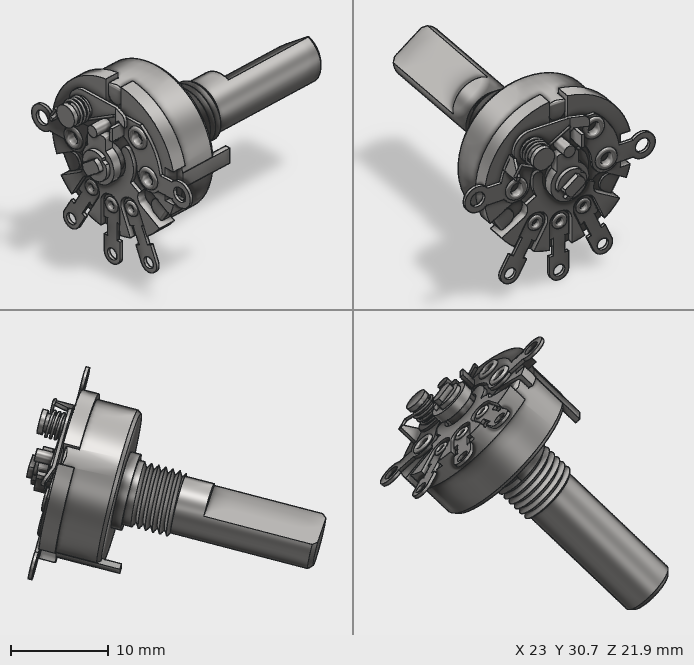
import cadquery as cq
import math


STRIP_END_ROUND = 0.48
RIVET_RIM_ROUND = 0.4

BASE_RADIUS = 8.93
BASE_FRONT = 1.72
CAN_RADIUS = 8.35
CAN_FRONT = 6.4
CAN_CHAMFER_DEPTH = 0.4
CAN_CHAMFER_WIDTH = 0.3
LUG_TIP = 8.5
LUG_THICKNESS = 0.6
LUG_WIDTH = 1.85
NOTCH_X = 7.52
NOTCH_WIDTH = 4.02

TAB_ANGLES = (90, 210, 330)
SLOT_WIDTH = 2.18
SLOT_INNER = 4.8
SLOT_FLOOR = 0.58
SLOT_MOUTH = 7.73
TAB_WIDTH = 2.03
TAB_INNER = 6.2
TAB_REAR = 0.28
TAB_ROUND = 0.35

COLLAR_RADIUS = 4.02
COLLAR_FRONT = 7.45
THREAD_RADIUS = 3.4
THREAD_ROOT = 2.82
THREAD_START = 8.15
THREAD_FRONT = 12.43
SIX_TURNS = 4.5
THREAD_PITCH = SIX_TURNS / 6
GROOVE_WIDTH = 0.75
GROOVE_OVERCUT = 0.015
GROOVE_OUTER = THREAD_RADIUS + GROOVE_OVERCUT

JOURNAL_RADIUS = 1.6
SHAFT_RADIUS = 3.0
OVERALL_LENGTH = 30.7
SHAFT_FRONT = 27.4
SHAFT_CHAMFER = 0.45
FLAT_DISTANCE = 1.53
FLAT_START = 15.47
FLAT_ANGLE = 126.6
CAM_RADIUS = 2.3
CAM_FRONT = -1.17
CAM_REAR = -2.2
LOBE_LEFT = -1.55
LOBE_RIGHT = 1.07
LOBE_TOP = 3.68
LOBE_ROUND = 0.35
CLIP_RADIUS = 1.75
CLIP_REAR = -2.7
CLIP_NOTCH = ((1.07, 1.05), (1.53, 0.8))
TANG_RADIUS = 1.23
TANG_WIDTH = 1.45
TANG_REAR = SHAFT_FRONT - OVERALL_LENGTH

BOARD_REAR = -0.45
BOARD_START = 210
BOARD_END = 330
RING_OUTER = 3.38
RING_INNER = 2.2
RING_START = 168
RING_END = 397

RIVET_DISTANCE = 5.83
LEFT_LEAN = 30
LEFT_LEAN_RADIANS = math.radians(LEFT_LEAN)
TERMINALS = (
    (-RIVET_DISTANCE * math.sin(LEFT_LEAN_RADIANS), -RIVET_DISTANCE * math.cos(LEFT_LEAN_RADIANS), LEFT_LEAN),
    (0, -RIVET_DISTANCE, 0),
    (2.9, -4.97, -23.6),
)
CHANNEL_WIDTH = 2.7
CHANNEL_FLOOR = 0.18
TERMINAL_REAR = -0.18
TERMINAL_WIDTH = 2.33
TERMINAL_NECK = 1.35
NECK_START = 1.93
NECK_END = 4.05
TERMINAL_LENGTH = 6.0
TERMINAL_HOLE = 0.68
SMALL_RIVET_RADIUS = 0.9
SMALL_RIVET_HOLE = 0.4
SMALL_RIVET_REAR = -0.43

PLATE_REAR = -0.37
PLATE_OUTER = 7.2
LEFT_PLATE_INNER = 3.65
RIGHT_PLATE_INNER = 3.85
EYE_X = 9.97
EYE_RADIUS = 1.53
EYE_HOLE = 0.85
ARM_WIDTH = 2.05
PAD_RADIUS = 1.65
LEFT_RIVETS = ((-5.35, 0),)
LEFT_EYE_Z = 0.25
LEFT_ARM_Z = 0.18
LEFT_PLATE_TOP = 4.0
RIGHT_RIVETS = ((5.52, 0), (4.0, 4.25))
RIGHT_PLATE_TOP = 5.83
RIVET_RADIUS = 1.3
RIVET_HOLE = 0.7
RIVET_REAR = -0.68
RIVET_FLOOR = 0.3
STOP_LEFT = 1.5
STOP_THICKNESS = 0.4
STOP_BOTTOM = 3.5
STOP_TOP = 5.1
STOP_REAR = -2.05
BRACKET_LOW = (-6.57, 2.52)
BRACKET_HIGH = (-5.77, 4.05)
BRACKET_THICKNESS = 0.4
BRACKET_LOW_REAR = -2.58
BRACKET_HIGH_REAR = -0.83
BRACKET_LOW_LENGTH = 0.43

PIVOT = (-3.75, 4.55)
LEVER_FRONT = -0.28
LEVER_REAR = -0.65
LEVER_RADIUS = 2.03
LEVER_BEND_X = 0.98
LEVER_TIP_X = 2.92
LEVER_TIP_ROUND = 0.55
LEVER_TIP_BOTTOM = 5.28
LEVER_TIP_CHAMFER = 0.45
LEVER_TIP_RISE = 0.68
SPACER_RADIUS = 1.5
POST_RADIUS = 0.98
POST_HEAD_RADIUS = 1.3
POST_FOOT_REAR = -0.95
POST_HEAD_FRONT = -2.65
POST_REAR = -3.2
PIN_CENTRE = (-0.35, 4.05)
PIN_RADIUS = 0.68
PIN_REAR = -2.73

COIL_RADIUS = 1.35
WIRE_RADIUS = 0.138
COIL_FRONT_Y = -0.8
COIL_REAR_Y = -2.35
COIL_START = -60
COIL_END = -117
COIL_TURNS = 3
LONG_LEG = 4.6
SHORT_LEG = 1.78
HOOK_END = (-6.72, 2.9)


def sketch_at(y):
    """Work plane across the shaft at height y; its local axes are X and Z and it extrudes to -Y."""
    return cq.Workplane("XZ", origin=(0, y, 0))


def disc(centre, radius, front, rear):
    return sketch_at(front).center(*centre).circle(radius).extrude(front - rear)


def block(x_range, z_range, front, rear):
    width = x_range[1] - x_range[0]
    height = z_range[1] - z_range[0]
    corner = sketch_at(front).center(x_range[0], z_range[0])
    return corner.rect(width, height, centered=False).extrude(front - rear)


def turn(body, angle):
    """Turn a body about the shaft axis, from +X towards +Z."""
    return body.rotate((0, 0, 0), (0, 1, 0), -angle)


def polar(radius, angle):
    return (radius * math.cos(math.radians(angle)), radius * math.sin(math.radians(angle)))


def ring_sector(inner, outer, start, end, front, rear):
    middle = (start + end) / 2
    outline = (
        sketch_at(front)
        .moveTo(*polar(inner, start))
        .lineTo(*polar(outer, start))
        .threePointArc(polar(outer, middle), polar(outer, end))
        .lineTo(*polar(inner, end))
        .threePointArc(polar(inner, middle), polar(inner, start))
        .close()
    )
    return outline.extrude(front - rear)


def rivet(centre, radius, hole, front, rear):
    """Hollow rivet head with rounded inner and outer rims."""
    head = sketch_at(front).center(*centre).circle(radius).circle(hole).extrude(front - rear)
    return head.faces("<Y").edges().fillet(RIVET_RIM_ROUND * (radius - hole))


def round_ended_strip(inner, width, front, rear):
    """Strip along +X past the base rim, with a rounded inner end."""
    length = BASE_RADIUS + width - inner
    strip = block((inner, inner + length), (-width / 2, width / 2), front, rear)
    return strip.edges("|Y and <X").fillet(STRIP_END_ROUND * width)


def make_can():
    shoulder = CAN_FRONT - CAN_CHAMFER_DEPTH
    can = disc((0, 0), CAN_RADIUS, shoulder, BASE_FRONT)
    rim = cq.Solid.makeCone(
        CAN_RADIUS,
        CAN_RADIUS - CAN_CHAMFER_WIDTH,
        CAN_CHAMFER_DEPTH,
        pnt=cq.Vector(0, shoulder, 0),
        dir=cq.Vector(0, 1, 0),
    )
    can = can.union(cq.Workplane(rim))
    lug_sides = (-LUG_WIDTH / 2, LUG_WIDTH / 2)
    lug = block((CAN_RADIUS - LUG_THICKNESS, CAN_RADIUS), lug_sides, LUG_TIP, BASE_FRONT)
    return can.union(lug)


def make_base():
    base = disc((0, 0), BASE_RADIUS, BASE_FRONT, 0)
    base = base.union(ring_sector(RING_INNER, BASE_RADIUS, BOARD_START, BOARD_END, 0, BOARD_REAR))
    base = base.union(ring_sector(RING_INNER, RING_OUTER, RING_START, RING_END, 0, BOARD_REAR))
    for end in (RING_START, RING_END):
        tip = polar((RING_INNER + RING_OUTER) / 2, end)
        base = base.union(disc(tip, (RING_OUTER - RING_INNER) / 2, 0, BOARD_REAR))
    notch = block((NOTCH_X, BASE_RADIUS), (-NOTCH_WIDTH / 2, NOTCH_WIDTH / 2), BASE_FRONT, 0)
    return base.cut(notch)


def clench_tabs(base):
    """Cut the rim slots and lay a bent can tab in each."""
    half_width = SLOT_WIDTH / 2
    slot = round_ended_strip(SLOT_INNER, SLOT_WIDTH, SLOT_FLOOR, BOARD_REAR)
    mouth = block((SLOT_MOUTH, BASE_RADIUS), (-half_width, half_width), BASE_FRONT, 0)
    tab = block((TAB_INNER, CAN_RADIUS), (-TAB_WIDTH / 2, TAB_WIDTH / 2), BASE_FRONT, TAB_REAR)
    tab = tab.edges("|Y and <X").fillet(STRIP_END_ROUND * TAB_WIDTH)
    tab = tab.edges("<Y and >X").fillet(TAB_ROUND)
    tab = tab.intersect(disc((0, 0), CAN_RADIUS, BASE_FRONT, TAB_REAR))
    for angle in TAB_ANGLES:
        base = base.cut(turn(slot.union(mouth), angle))
        base = base.union(turn(tab, angle))
    return base


def make_bushing():
    """Collar and threaded barrel; the groove starts at the bottom and runs out of the barrel end."""
    collar = disc((0, 0), COLLAR_RADIUS, COLLAR_FRONT, CAN_FRONT)
    barrel = disc((0, 0), THREAD_RADIUS, THREAD_FRONT + 2 * THREAD_PITCH, COLLAR_FRONT)
    groove_length = THREAD_FRONT - THREAD_START + THREAD_PITCH
    path = cq.Wire.makeHelix(THREAD_PITCH, groove_length, THREAD_RADIUS)
    groove = (
        cq.Workplane("XZ")
        .polyline([
            (THREAD_ROOT, 0),
            (GROOVE_OUTER, -GROOVE_WIDTH / 2),
            (GROOVE_OUTER, GROOVE_WIDTH / 2),
        ])
        .close()
        .sweep(cq.Workplane(path), isFrenet=True)
        .rotate((0, 0, 0), (0, 0, 1), 90)
        .rotate((0, 0, 0), (1, 0, 0), -90)
        .translate((0, THREAD_START, 0))
    )
    kept = disc((0, 0), COLLAR_RADIUS, THREAD_FRONT, COLLAR_FRONT)
    return barrel.cut(groove).intersect(kept).union(collar)


def hang_at(body, x, z, lean):
    """Lean a downward-hanging body about its rivet and move the rivet to (x, z)."""
    return body.rotate((0, 0, 0), (0, 1, 0), lean).translate((x, 0, z))


def make_channel():
    half_width = CHANNEL_WIDTH / 2
    trough = block((-half_width, half_width), (-TERMINAL_LENGTH, 0), CHANNEL_FLOOR, BOARD_REAR)
    return trough.union(disc((0, 0), half_width, CHANNEL_FLOOR, BOARD_REAR))


def make_terminal():
    half_width = TERMINAL_WIDTH / 2
    sides = (-half_width, half_width)
    neck_sides = (-TERMINAL_NECK / 2, TERMINAL_NECK / 2)
    eye = (0, -TERMINAL_LENGTH)
    terminal = disc((0, 0), half_width, CHANNEL_FLOOR, TERMINAL_REAR)
    terminal = terminal.union(block(sides, (-NECK_START, 0), CHANNEL_FLOOR, TERMINAL_REAR))
    terminal = terminal.union(block(neck_sides, (-NECK_END, -NECK_START), CHANNEL_FLOOR, TERMINAL_REAR))
    terminal = terminal.union(block(sides, (-TERMINAL_LENGTH, -NECK_END), CHANNEL_FLOOR, TERMINAL_REAR))
    terminal = terminal.union(disc(eye, half_width, CHANNEL_FLOOR, TERMINAL_REAR))
    terminal = terminal.cut(disc(eye, TERMINAL_HOLE, CHANNEL_FLOOR, TERMINAL_REAR))
    head = rivet((0, 0), SMALL_RIVET_RADIUS, SMALL_RIVET_HOLE, TERMINAL_REAR, SMALL_RIVET_REAR)
    bore = disc((0, 0), SMALL_RIVET_HOLE, CHANNEL_FLOOR, TERMINAL_REAR)
    return terminal.union(head).cut(bore)


def make_contact_plate(x_range, inner, top, rivets, eye, arm_z):
    """Flat contact: an arc-shaped plate with a round pad, a solder eye on an arm, and rivets."""
    pad = rivets[0]
    plate = sketch_at(0).circle(PLATE_OUTER).circle(inner).extrude(-PLATE_REAR)
    plate = plate.intersect(block(x_range, (0, top), 0, PLATE_REAR))
    arm_ends = sorted((pad[0], eye[0]))
    arm = block(arm_ends, (arm_z - ARM_WIDTH / 2, arm_z + ARM_WIDTH / 2), 0, PLATE_REAR)
    plate = plate.union(disc(pad, PAD_RADIUS, 0, PLATE_REAR)).union(arm)
    plate = plate.union(disc(eye, EYE_RADIUS, 0, PLATE_REAR))
    plate = plate.cut(disc(eye, EYE_HOLE, 0, PLATE_REAR))
    for centre in rivets:
        plate = plate.union(rivet(centre, RIVET_RADIUS, RIVET_HOLE, PLATE_REAR, RIVET_REAR))
        plate = plate.cut(disc(centre, RIVET_HOLE, 0, PLATE_REAR))
    return plate


def make_bracket():
    """Upright spring bracket on the left contact, sloping down towards its upper end."""
    run_x = BRACKET_HIGH[0] - BRACKET_LOW[0]
    run_z = BRACKET_HIGH[1] - BRACKET_LOW[1]
    length = math.hypot(run_x, run_z)
    plane = cq.Plane(
        origin=(BRACKET_LOW[0], 0, BRACKET_LOW[1]),
        xDir=(run_x, 0, run_z),
        normal=(run_z, 0, -run_x),
    )
    outward = -plane.yDir.y
    outline = [
        (0, 0),
        (0, outward * -BRACKET_LOW_REAR),
        (BRACKET_LOW_LENGTH, outward * -BRACKET_LOW_REAR),
        (length, outward * -BRACKET_HIGH_REAR),
        (length, 0),
    ]
    return cq.Workplane(plane).polyline(outline).close().extrude(BRACKET_THICKNESS / 2, both=True)


def make_lever():
    top = PIVOT[1] + LEVER_RADIUS
    bottom = PIVOT[1] - LEVER_RADIUS
    lever = block((PIVOT[0], LEVER_BEND_X), (bottom, top), LEVER_FRONT, LEVER_REAR)
    lever = lever.union(disc(PIVOT, LEVER_RADIUS, LEVER_FRONT, LEVER_REAR))
    slope = (
        cq.Workplane("XY")
        .polyline([
            (LEVER_BEND_X, LEVER_FRONT),
            (LEVER_BEND_X, LEVER_REAR),
            (LEVER_TIP_X, LEVER_REAR - LEVER_TIP_RISE),
            (LEVER_TIP_X, LEVER_FRONT - LEVER_TIP_RISE),
        ])
        .close()
        .extrude(top)
    )
    outline = (
        sketch_at(LEVER_FRONT)
        .moveTo(LEVER_BEND_X, top)
        .lineTo(LEVER_BEND_X, LEVER_TIP_BOTTOM - LEVER_TIP_CHAMFER)
        .lineTo(LEVER_BEND_X + LEVER_TIP_CHAMFER, LEVER_TIP_BOTTOM)
        .lineTo(LEVER_TIP_X, LEVER_TIP_BOTTOM)
        .lineTo(LEVER_TIP_X, top)
        .close()
        .extrude(LEVER_FRONT - LEVER_REAR + LEVER_TIP_RISE)
        .edges("|Y and >X and >Z")
        .fillet(LEVER_TIP_ROUND)
    )
    tip = slope.intersect(outline)
    return lever.union(tip)


def make_post():
    spacer = disc(PIVOT, SPACER_RADIUS, 0, LEVER_FRONT)
    foot = disc(PIVOT, POST_HEAD_RADIUS, LEVER_REAR, POST_FOOT_REAR)
    stem = disc(PIVOT, POST_RADIUS, LEVER_REAR, POST_REAR)
    head = disc(PIVOT, POST_HEAD_RADIUS, POST_HEAD_FRONT, POST_REAR)
    return spacer.union(foot).union(stem).union(head)


def make_wire(start, angle, length, y):
    """Straight round wire that leaves the point start at the given angle."""
    direction = polar(1, angle)
    plane = cq.Plane(origin=(start[0], y, start[1]), xDir=(0, 1, 0), normal=(direction[0], 0, direction[1]))
    return cq.Workplane(plane).circle(WIRE_RADIUS).extrude(length)


def on_coil(angle):
    x, z = polar(COIL_RADIUS, angle)
    return (PIVOT[0] + x, PIVOT[1] + z)


def make_spring():
    height = COIL_FRONT_Y - COIL_REAR_Y
    turns = COIL_TURNS + (COIL_START - COIL_END) / 360
    path = cq.Wire.makeHelix(height / turns, height, COIL_RADIUS, lefthand=True)
    coil = (
        cq.Workplane("XZ", origin=(COIL_RADIUS, 0, 0))
        .circle(WIRE_RADIUS)
        .sweep(cq.Workplane(path), isFrenet=True)
        .rotate((0, 0, 0), (0, 0, 1), COIL_START)
        .rotate((0, 0, 0), (1, 0, 0), 90)
        .translate((PIVOT[0], COIL_FRONT_Y, PIVOT[1]))
    )
    long_leg = make_wire(on_coil(COIL_START), COIL_START + 90, LONG_LEG, COIL_FRONT_Y)
    short_start = on_coil(COIL_END)
    short_angle = COIL_END - 90
    short_leg = make_wire(short_start, short_angle, SHORT_LEG, COIL_REAR_Y)
    step = polar(SHORT_LEG, short_angle)
    corner = (short_start[0] + step[0], short_start[1] + step[1])
    hook_x = HOOK_END[0] - corner[0]
    hook_z = HOOK_END[1] - corner[1]
    hook_angle = math.degrees(math.atan2(hook_z, hook_x))
    hook = make_wire(corner, hook_angle, math.hypot(hook_x, hook_z), COIL_REAR_Y)
    knee = cq.Workplane("XY").sphere(WIRE_RADIUS).translate((corner[0], COIL_REAR_Y, corner[1]))
    return coil.union(long_leg).union(short_leg).union(hook).union(knee)


def make_housing():
    """Everything that stays still: can, base, bushing, terminals and switch parts."""
    housing = clench_tabs(make_base()).union(make_can()).union(make_bushing())

    for x, z, lean in TERMINALS:
        housing = housing.cut(hang_at(make_channel(), x, z, lean))
        housing = housing.union(hang_at(make_terminal(), x, z, lean))

    for centre in LEFT_RIVETS + RIGHT_RIVETS:
        housing = housing.cut(disc(centre, RIVET_HOLE, RIVET_FLOOR, 0))
    left_plate = make_contact_plate(
        (-PLATE_OUTER, 0),
        LEFT_PLATE_INNER,
        LEFT_PLATE_TOP,
        LEFT_RIVETS,
        (-EYE_X, LEFT_EYE_Z),
        LEFT_ARM_Z,
    )
    right_plate = make_contact_plate(
        (STOP_LEFT, PLATE_OUTER),
        RIGHT_PLATE_INNER,
        RIGHT_PLATE_TOP,
        RIGHT_RIVETS,
        (EYE_X, 0),
        0,
    )
    stop = block((STOP_LEFT, STOP_LEFT + STOP_THICKNESS), (STOP_BOTTOM, STOP_TOP), 0, STOP_REAR)
    pin = disc(PIN_CENTRE, PIN_RADIUS, LEVER_FRONT, PIN_REAR)
    fittings = (make_bracket(), make_lever(), make_post(), make_spring())
    for piece in (left_plate, right_plate, stop, pin) + fittings:
        housing = housing.union(piece)

    return housing.cut(disc((0, 0), JOURNAL_RADIUS, THREAD_FRONT, 0))


def make_cam():
    lobe = block((LOBE_LEFT, LOBE_RIGHT), (0, LOBE_TOP), CAM_FRONT, CAM_REAR)
    lobe = lobe.edges("|Y and >Z").fillet(LOBE_ROUND)
    cam = disc((0, 0), CAM_RADIUS, CAM_FRONT, CAM_REAR).union(lobe)
    return cam.cut(disc(PIN_CENTRE, PIN_RADIUS, CAM_FRONT, CAM_REAR))


def make_shaft():
    shaft = disc((0, 0), SHAFT_RADIUS, SHAFT_FRONT, THREAD_FRONT).faces(">Y").edges().chamfer(SHAFT_CHAMFER)
    beyond_flat = block(
        (FLAT_DISTANCE, SHAFT_RADIUS), (-SHAFT_RADIUS, SHAFT_RADIUS), SHAFT_FRONT, FLAT_START
    )
    shaft = shaft.cut(turn(beyond_flat, FLAT_ANGLE))
    shaft = shaft.union(disc((0, 0), JOURNAL_RADIUS, THREAD_FRONT, CAM_FRONT)).union(make_cam())

    tang_angle = FLAT_ANGLE + 90
    half_tang = (-TANG_WIDTH / 2, TANG_WIDTH / 2)
    opening = turn(block((0, CLIP_RADIUS), half_tang, CAM_REAR, CLIP_REAR), tang_angle)
    clip = disc((0, 0), CLIP_RADIUS, CAM_REAR, CLIP_REAR).cut(opening)
    notch_inner, notch_outer = CLIP_NOTCH
    notch = (
        sketch_at(CAM_REAR)
        .polyline([
            (notch_inner[0], CLIP_RADIUS),
            notch_inner,
            notch_outer,
            (CLIP_RADIUS, notch_outer[1]),
            (CLIP_RADIUS, CLIP_RADIUS),
        ])
        .close()
        .extrude(CAM_REAR - CLIP_REAR)
    )
    clip = clip.cut(notch)
    tang_sides = turn(block((-TANG_RADIUS, TANG_RADIUS), half_tang, CAM_REAR, TANG_REAR), tang_angle)
    tang = disc((0, 0), TANG_RADIUS, CAM_REAR, TANG_REAR).intersect(tang_sides)
    return shaft.union(clip).union(tang)


housing = make_housing()
shaft = make_shaft()

result = cq.Compound.makeCompound([housing.solids().val(), shaft.solids().val()])